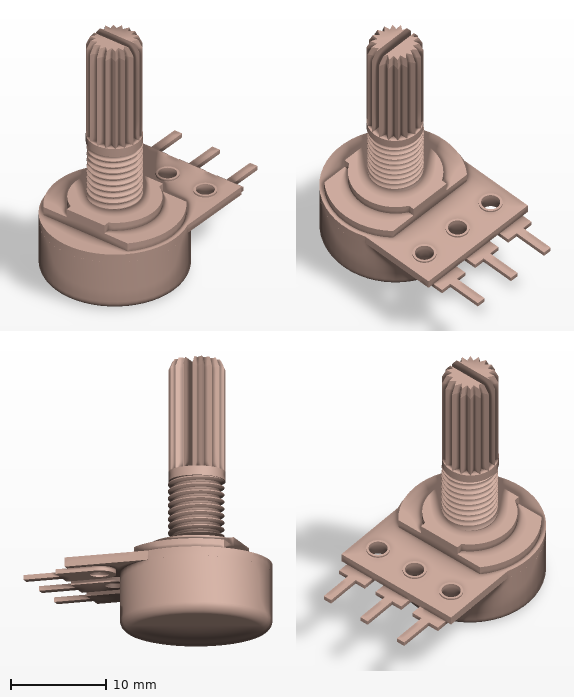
import cadquery as cq
import math

can_diameter = 16.0
can_height = 6.0
can_rim_fillet = 1.0

board_thickness = 1.0
board_width = 15.0
board_end_y = 12.0
board_bottom = can_height
board_top = board_bottom + board_thickness

terminal_pitch = 5.0
terminal_positions = [-terminal_pitch, 0.0, terminal_pitch]
terminal_thickness = 0.5
terminal_bottom = board_bottom - terminal_thickness
eyelet_y = 9.0
eyelet_outer_diameter = 2.5
eyelet_bore = 2.0
eyelet_rise = 0.2
lug_width = 3.5
lug_overhang = 1.25
prong_width = 1.0
prong_length = 4.0

flange_diameter = 15.0
flange_thickness = 1.0
across_flats = 10.0
hub_diameter = 10.0
hub_thickness = 1.0
key_width = 5.0
neck_bottom = board_top + flange_thickness + hub_thickness
neck_length = 7.0
neck_top = neck_bottom + neck_length

thread_pitch = 0.75
thread_major_diameter = 5.91
thread_minor_diameter = 5.05
thread_flank_angle = 30.0
thread_crest_width = thread_pitch / 8
thread_root_overlap = 0.05
thread_start_drop = 0.295
thread_lead = thread_pitch
thread_overrun = 3 * thread_pitch

shaft_offset_y = -0.085
collar_diameter = 6.0
collar_length = 1.0
spline_length = 12.0
spline_teeth = 18
spline_crest_radius = collar_diameter / 2
spline_root_radius = 0.75 * spline_crest_radius
lead_in_length = 1.0
lead_in_scale = 0.85
slot_width = 1.0


def make_can():
    return (
        cq.Workplane("XY")
        .circle(can_diameter / 2)
        .extrude(can_height)
        .faces("<Z")
        .edges()
        .fillet(can_rim_fillet)
    )


def make_board():
    disc = cq.Workplane("XY", origin=(0, 0, board_bottom)).circle(can_diameter / 2).extrude(board_thickness)
    tongue = (
        cq.Workplane("XY", origin=(0, board_end_y / 2, board_bottom))
        .rect(board_width, board_end_y)
        .extrude(board_thickness)
    )
    eyelet_holes = (
        cq.Workplane("XY", origin=(0, eyelet_y, board_bottom))
        .pushPoints([(x, 0) for x in terminal_positions])
        .circle(eyelet_outer_diameter / 2)
        .extrude(board_thickness)
    )
    return disc.union(tongue).cut(eyelet_holes)


def make_terminal(x):
    lug_end_y = board_end_y + lug_overhang
    plate = (
        cq.Workplane("XY", origin=(x, 0, terminal_bottom))
        .moveTo(-lug_width / 2, eyelet_y)
        .threePointArc((0, eyelet_y - lug_width / 2), (lug_width / 2, eyelet_y))
        .lineTo(lug_width / 2, lug_end_y)
        .lineTo(prong_width / 2, lug_end_y)
        .lineTo(prong_width / 2, lug_end_y + prong_length)
        .lineTo(-prong_width / 2, lug_end_y + prong_length)
        .lineTo(-prong_width / 2, lug_end_y)
        .lineTo(-lug_width / 2, lug_end_y)
        .close()
        .extrude(terminal_thickness)
    )
    eyelet_height = terminal_thickness + board_thickness + eyelet_rise
    eyelet_base = cq.Workplane("XY", origin=(x, eyelet_y, terminal_bottom))
    eyelet = eyelet_base.circle(eyelet_outer_diameter / 2).extrude(eyelet_height)
    bore = eyelet_base.circle(eyelet_bore / 2).extrude(eyelet_height)
    return plate.union(eyelet).cut(bore)


def make_thread_ridge():
    """Helical ridge that starts below the neck and ends above it, trimmed to the neck length."""
    root_radius = thread_minor_diameter / 2 - thread_root_overlap
    crest_radius = thread_major_diameter / 2
    crest_half = thread_crest_width / 2
    root_half = crest_half + (crest_radius - root_radius) * math.tan(math.radians(thread_flank_angle))
    start_z = neck_bottom - thread_start_drop - thread_lead
    helix_height = neck_length + thread_overrun
    helix = cq.Wire.makeHelix(thread_pitch, helix_height, crest_radius, center=cq.Vector(0, 0, start_z))
    ridge = (
        cq.Workplane("XZ", origin=(0, 0, start_z))
        .moveTo(root_radius, -root_half)
        .lineTo(crest_radius, -crest_half)
        .lineTo(crest_radius, crest_half)
        .lineTo(root_radius, root_half)
        .close()
        .sweep(cq.Workplane(helix), isFrenet=True)
    )
    neck_envelope = (
        cq.Workplane("XY", origin=(0, 0, neck_bottom)).circle(thread_major_diameter).extrude(neck_length)
    )
    return ridge.intersect(neck_envelope)


def make_bushing():
    flange_base = cq.Workplane("XY", origin=(0, 0, board_top))
    flange_disc = flange_base.circle(flange_diameter / 2).extrude(flange_thickness)
    flats = flange_base.rect(flange_diameter, across_flats).extrude(flange_thickness)
    flange = flange_disc.intersect(flats)
    hub_base = cq.Workplane("XY", origin=(0, 0, board_top + flange_thickness))
    hub = hub_base.circle(hub_diameter / 2).extrude(hub_thickness)
    key = hub_base.rect(key_width, across_flats).extrude(hub_thickness)
    neck_base = cq.Workplane("XY", origin=(0, 0, neck_bottom))
    neck = neck_base.circle(thread_minor_diameter / 2).extrude(neck_length)
    return flange.union(hub).union(key).union(neck.union(make_thread_ridge()))


def spline_points(crest_radius, root_radius):
    """Star outline with a crest on the Y axis, alternating with roots."""
    points = []
    for i in range(2 * spline_teeth):
        radius = crest_radius if i % 2 == 0 else root_radius
        angle = math.pi / 2 + i * math.pi / spline_teeth
        points.append((radius * math.cos(angle), radius * math.sin(angle)))
    return points


def make_shaft():
    collar = (
        cq.Workplane("XY", origin=(0, shaft_offset_y, neck_top))
        .circle(collar_diameter / 2)
        .extrude(collar_length)
    )
    straight_length = spline_length - lead_in_length
    spline_bottom = neck_top + collar_length
    full_outline = spline_points(spline_crest_radius, spline_root_radius)
    reduced_outline = spline_points(lead_in_scale * spline_crest_radius, lead_in_scale * spline_root_radius)
    spline = (
        cq.Workplane("XY", origin=(0, shaft_offset_y, spline_bottom))
        .polyline(full_outline)
        .close()
        .extrude(straight_length)
    )
    lead_in = (
        cq.Workplane("XY", origin=(0, shaft_offset_y, spline_bottom + straight_length))
        .polyline(full_outline)
        .close()
        .workplane(offset=lead_in_length)
        .polyline(reduced_outline)
        .close()
        .loft(ruled=True)
    )
    slot = (
        cq.Workplane("XY", origin=(0, shaft_offset_y, spline_bottom))
        .rect(collar_diameter, slot_width)
        .extrude(spline_length)
    )
    return collar.union(spline).union(lead_in).cut(slot)


board = make_board()
bushing = make_bushing()
shaft = make_shaft()
terminals = [make_terminal(x) for x in terminal_positions]

can = make_can()
for terminal in terminals:
    can = can.cut(terminal)

bodies = [can, board, bushing, shaft, *terminals]
result = cq.Compound.makeCompound([body.solids().val() for body in bodies])